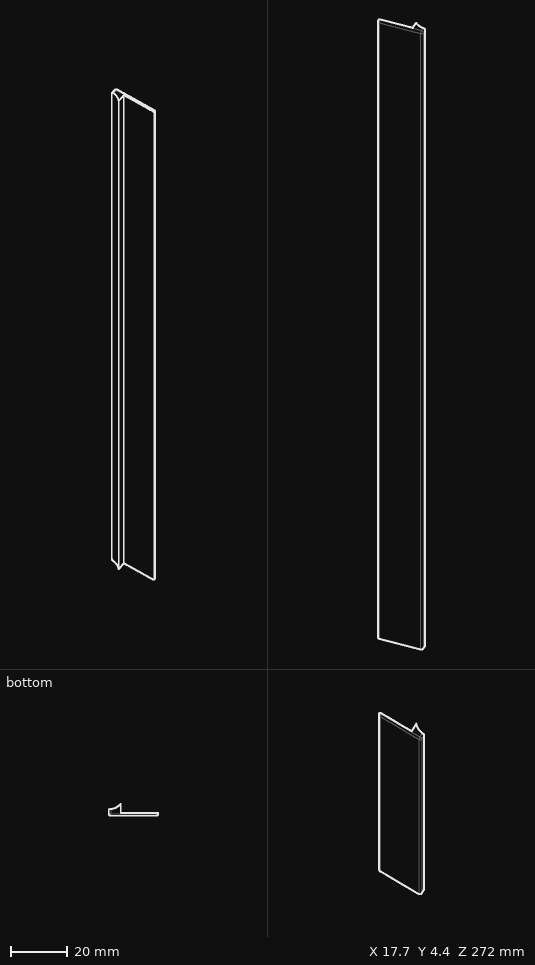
import cadquery as cq

length = 272.0
width = 17.7
depth = 4.4

plate_thickness = 1.0
lip_width = 4.4
edge_height = 2.5
cove_sag = 0.5
corner_radius = 0.8
back_edge_radius = 0.8

left = -width / 2
right = width / 2
back = depth / 2
front = -depth / 2
lip_right = left + lip_width
plate_front = back - plate_thickness
edge_front = back - edge_height

cove_middle = (
    (left + lip_right) / 2 + cove_sag * (edge_front - front) / lip_width,
    (edge_front + front) / 2 + cove_sag,
)

profile = (
    cq.Workplane("XY")
    .workplane(offset=-length / 2)
    .moveTo(left, back)
    .lineTo(left, edge_front)
    .threePointArc(cove_middle, (lip_right, front))
    .lineTo(lip_right, plate_front)
    .lineTo(right, plate_front)
    .lineTo(right, back)
    .close()
)

strip = profile.extrude(length)

strip = strip.edges("|Y and (<X or >X)").fillet(corner_radius)

result = strip.faces(">Y").edges().fillet(back_edge_radius)